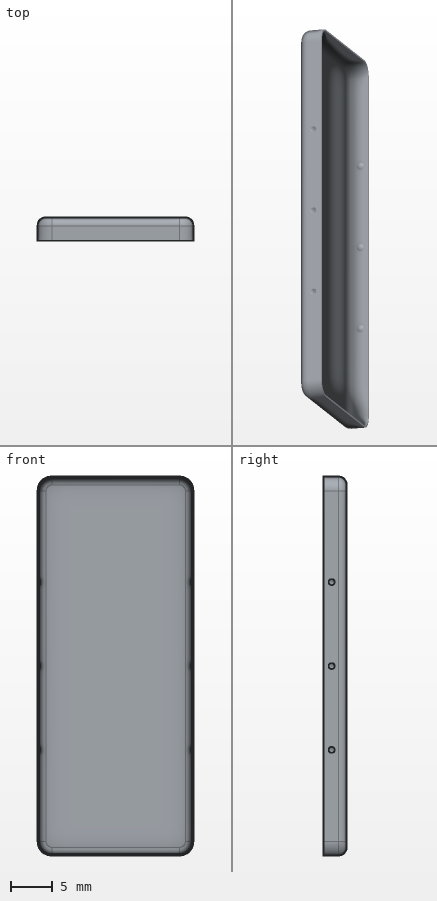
import cadquery as cq
import math

WIDTH = 18.6
DEPTH = 2.8
HEIGHT = 45.2
WALL = 0.2
CORNER_RADIUS = 1.7
RIM_RADIUS = 1.0

OPEN_Y = -DEPTH / 2
BACK_Y = DEPTH / 2

DENT_PITCH = 10.0
DENT_COUNT = 3
DENT_FROM_OPEN_EDGE = 1.0
DENT_DEPTH = 0.15
HOLLOW_RADIUS = 0.5
BUMP_RADIUS = HOLLOW_RADIUS + WALL
DENT_CENTER_OFFSET = HOLLOW_RADIUS - DENT_DEPTH


def rounded_block(inset):
    """Block inset from the outer walls, with rounded corners and a rounded back edge."""
    return (
        cq.Workplane("XZ", origin=(0, BACK_Y - inset, 0))
        .rect(WIDTH - 2 * inset, HEIGHT - 2 * inset)
        .extrude(DEPTH - inset)
        .edges("|Y")
        .fillet(CORNER_RADIUS - inset)
        .faces(">Y")
        .edges()
        .fillet(RIM_RADIUS - inset)
    )


def spherical_cap(radius, base_height):
    """Part of a sphere about the origin that lies beyond x = base_height."""
    base_latitude = math.degrees(math.asin(base_height / radius))
    return cq.Workplane("XY").sphere(radius, direct=(1, 0, 0), angle1=base_latitude, angle2=90)


def at_dents(cap):
    """Copies of a cap at every dent of the left wall, mirrored onto the right wall."""
    center_x = -WIDTH / 2 - DENT_CENTER_OFFSET
    center_y = OPEN_Y + DENT_FROM_OPEN_EDGE
    copies = cq.Workplane("XY")
    for index in range(DENT_COUNT):
        center_z = (index - (DENT_COUNT - 1) / 2) * DENT_PITCH
        left = cap.translate((center_x, center_y, center_z))
        copies = copies.add(left).add(left.mirror("YZ"))
    return copies.combine()


tray = rounded_block(0).cut(rounded_block(WALL))

bump = spherical_cap(BUMP_RADIUS, DENT_CENTER_OFFSET + WALL / 2)
hollow = spherical_cap(HOLLOW_RADIUS, 0)

result = tray.union(at_dents(bump)).cut(at_dents(hollow))